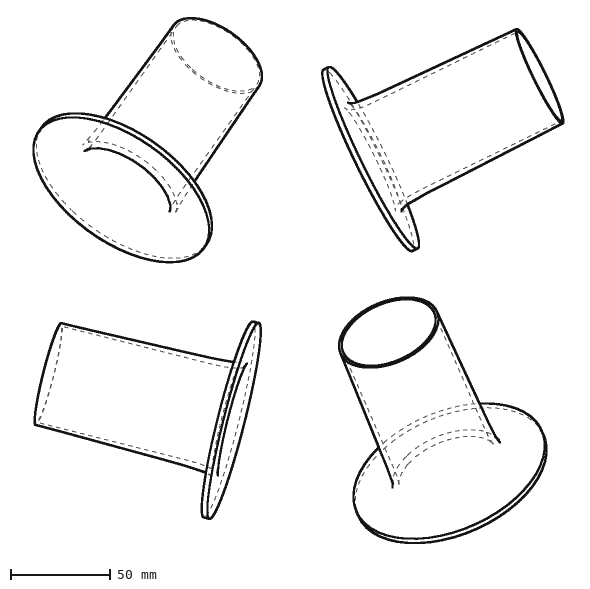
import cadquery as cq

total_length = 97.0
flange_diameter = 102.0
flange_thickness = 3.0
bore_diameter = 50.0
tube_end_wall = 1.5
flare_length = 19.2
mouth_diameter = 64.6

axial_pull = 0.87
radial_pull = 0.70

flange_radius = flange_diameter / 2
bore_radius = bore_diameter / 2
mouth_radius = mouth_diameter / 2
tube_end_radius = bore_radius + tube_end_wall
tube_root_radius = bore_radius + flange_thickness
outer_taper = (tube_root_radius - tube_end_radius) / (total_length - flare_length)


def flare_points(tube_radius, taper, flange_face):
    """Bezier control points of a flare, from the tube to a flange face.

    The curve leaves along the tube wall and lands flat on the flange face.
    """
    drop = flare_length - flange_face
    corner_radius = tube_radius + taper * drop
    tube_handle = axial_pull * drop
    flange_handle = radial_pull * (mouth_radius - corner_radius)
    return [
        (tube_radius, flare_length),
        (tube_radius + taper * tube_handle, flare_length - tube_handle),
        (mouth_radius - flange_handle, flange_face),
        (mouth_radius, flange_face),
    ]


def half_section():
    """Closed section in the XY plane, on the +X side of the Y axis."""
    outer_flare = flare_points(tube_root_radius, outer_taper, flange_thickness)
    inner_flare = flare_points(bore_radius, 0.0, 0.0)
    return (
        cq.Workplane("XY")
        .moveTo(tube_end_radius, total_length)
        .lineTo(tube_root_radius, flare_length)
        .bezier(outer_flare)
        .lineTo(flange_radius, flange_thickness)
        .lineTo(flange_radius, 0.0)
        .lineTo(mouth_radius, 0.0)
        .bezier(inner_flare[::-1])
        .lineTo(bore_radius, total_length)
        .close()
    )


result = half_section().revolve(360.0, (0, 0, 0), (0, 1, 0))